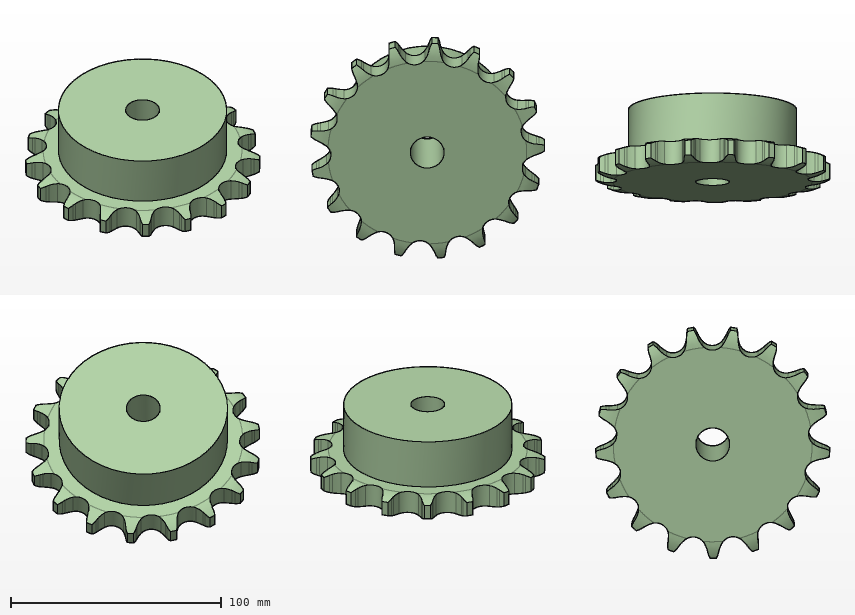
import cadquery as cq
import math

tooth_count = 17
pitch_diameter = 103.7
tip_diameter = 111.5
roller_diameter = 12.0
roller_play = 0.038

rim_thickness = 11.1
total_height = 35.0
hub_diameter = 80.0
bore_diameter = 16.0

side_arc_radius = 19.0
side_relief = 2.0

pitch_radius = pitch_diameter / 2
tooth_angle = 2 * math.pi / tooth_count
tip_radius = tip_diameter / 2
cut_margin = 5.6

seating_radius = 0.5025 * roller_diameter + roller_play
seating_angle = math.radians(35 + 60 / tooth_count)
working_angle = math.radians(18 - 56 / tooth_count)
flank_angle = math.radians(17 - 64 / tooth_count)
working_offset = 0.8 * roller_diameter
working_radius = working_offset + seating_radius
topping_offset = 1.4 * roller_diameter
straight_length = topping_offset * math.sin(flank_angle) - working_offset * math.sin(working_angle)


def polar(center, radius, angle):
    """Point at a radius and angle from a center."""
    return (center[0] + radius * math.cos(angle), center[1] + radius * math.sin(angle))


def mirrored(point):
    """Same point on the other side of the gap center line."""
    return (-point[0], point[1])


def gap_cutter():
    """Prism of one tooth gap, centered on the +Y axis and open past the tooth tips."""
    roller_center = (0, pitch_radius)
    working_center = polar(roller_center, working_offset, seating_angle)
    topping_center = polar(roller_center, topping_offset, math.pi + tooth_angle / 2)

    root = (0, pitch_radius - seating_radius)
    seating_mid = polar(roller_center, seating_radius, math.pi + (seating_angle + math.pi / 2) / 2)
    seating_end = polar(roller_center, seating_radius, math.pi + seating_angle)

    straight_angle = seating_angle - working_angle
    working_mid = polar(working_center, working_radius, math.pi + seating_angle - working_angle / 2)
    working_end = polar(working_center, working_radius, math.pi + straight_angle)
    straight_end = polar(working_end, straight_length, straight_angle + math.pi / 2)

    topping_radius = math.dist(topping_center, straight_end)
    topping_start_angle = math.atan2(
        straight_end[1] - topping_center[1], straight_end[0] - topping_center[0]
    )
    topping_end_angle = math.asin((tip_radius - topping_center[1]) / topping_radius)
    topping_mid = polar(topping_center, topping_radius, (topping_start_angle + topping_end_angle) / 2)
    topping_end = polar(topping_center, topping_radius, topping_end_angle)
    outer_corner = (topping_end[0], topping_end[1] + cut_margin)

    return (
        cq.Workplane("XY")
        .moveTo(*root)
        .threePointArc(seating_mid, seating_end)
        .threePointArc(working_mid, working_end)
        .lineTo(*straight_end)
        .threePointArc(topping_mid, topping_end)
        .lineTo(*outer_corner)
        .lineTo(*mirrored(outer_corner))
        .lineTo(*mirrored(topping_end))
        .threePointArc(mirrored(topping_mid), mirrored(straight_end))
        .lineTo(*mirrored(working_end))
        .threePointArc(mirrored(working_mid), mirrored(seating_end))
        .threePointArc(mirrored(seating_mid), root)
        .close()
        .extrude(rim_thickness)
    )


def rim_blank():
    """Disc whose outer edge narrows symmetrically along an arc on each face."""
    relief_angle = math.acos(1 - side_relief / side_arc_radius)
    relief_start = tip_radius - side_arc_radius * math.sin(relief_angle)
    relief_mid = relief_start + side_arc_radius * math.sin(relief_angle / 2)
    relief_mid_depth = side_arc_radius * (1 - math.cos(relief_angle / 2))
    return (
        cq.Workplane("XZ")
        .lineTo(relief_start, 0)
        .threePointArc((relief_mid, relief_mid_depth), (tip_radius, side_relief))
        .lineTo(tip_radius, rim_thickness - side_relief)
        .threePointArc((relief_mid, rim_thickness - relief_mid_depth), (relief_start, rim_thickness))
        .lineTo(0, rim_thickness)
        .close()
        .revolve(360, (0, 0, 0), (0, 1, 0))
    )


def toothed_rim():
    """Rim with all tooth gaps cut; one gap is centered on +Y."""
    rim = rim_blank()
    gap = gap_cutter()
    for index in range(tooth_count):
        turn = math.degrees(index * tooth_angle)
        rim = rim.cut(gap.rotate((0, 0, 0), (0, 0, 1), turn))
    return rim


hub = cq.Workplane("XY").circle(hub_diameter / 2).extrude(total_height)
bore = cq.Workplane("XY").circle(bore_diameter / 2).extrude(total_height)

result = toothed_rim().union(hub).cut(bore)